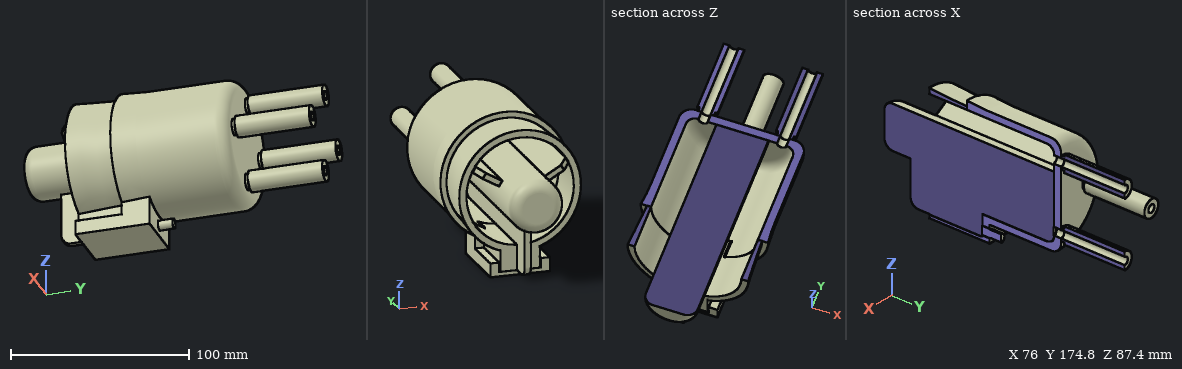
import cadquery as cq


rib_front = 26.7
key_rib_front = 19.0
sleeve_front = 32.7
flare_front = 60.1
flare_back = 75.0
block_back = 76.5
pin_back = 85.1
housing_back = 128.6
tube_shoulder = 130.7
tube_back = 174.8

housing_radius = 74.3 / 2
flare_radius = 76.0 / 2
cavity_radius = 63.5 / 2
wall = housing_radius - cavity_radius
cavity_back = housing_back - wall
housing_back_fillet = 7.5
cavity_fillet = 5.0

block_width = 35.3
overall_height = 87.4
block_bottom = flare_radius - overall_height
channel_width = 24.8
channel_floor = -46.7
channel_back = block_back - wall
lip_top = -41.0

sleeve_front_radius = 36.0
sleeve_back_radius = 34.5
tab_width = 23.2

plunger_radius = 31.3 / 2
plunger_fillet = 6.3
rib_thickness = 3.7
rib_chamfer = 5.0
key_rib_fillet = 5.6
upper_rib_angles = (30, 150)

tube_diameter = 12.4
tube_neck_diameter = 9.6
bore_diameter = 5.2
tube_offset = 23.5
tube_centers = [(tube_offset, 0), (0, tube_offset), (-tube_offset, 0), (0, -tube_offset)]
pin_diameter = 5.8
pin_z = -42.6


def rod(diameter, y_start, y_end, x=0, z=0):
    """Cylinder along Y."""
    start = cq.Workplane("XZ", origin=(x, y_start, z))
    return start.circle(diameter / 2).extrude(y_start - y_end)


def centered_box(width, y_start, y_end, z_bottom, z_top):
    """Box centred on x = 0."""
    block = cq.Workplane("XY").box(width, y_end - y_start, z_top - z_bottom, centered=(True, False, False))
    return block.translate((0, y_start, z_bottom))


def turned(profile):
    """Solid of revolution about Y from (radius, y) points."""
    return cq.Workplane("XY").polyline(profile).close().revolve(360, (0, 0), (0, 1))


def make_cavity():
    """Space inside the housing and sleeve, rounded at its closed end."""
    return rod(2 * cavity_radius, sleeve_front, cavity_back).faces(">Y").edges().fillet(cavity_fillet)


def make_pin():
    return rod(pin_diameter, channel_back, pin_back, z=pin_z)


def make_housing(cavity, pin):
    shell = turned([
        (0, flare_front),
        (flare_radius, flare_front),
        (housing_radius, flare_back),
        (housing_radius, housing_back),
        (0, housing_back),
    ])
    shell = shell.faces(">Y").edges().fillet(housing_back_fillet)
    block = centered_box(block_width, flare_front, block_back, block_bottom, 0)
    lip = centered_box(block_width, sleeve_front, flare_front, block_bottom, lip_top)
    channel = centered_box(channel_width, sleeve_front, channel_back, channel_floor, 0)
    housing = shell.union(block).union(lip).cut(channel).cut(cavity).cut(pin)
    for x, z in tube_centers:
        housing = housing.cut(rod(bore_diameter, cavity_back, housing_back, x, z))
    return housing


def make_upper_rib(angle):
    """Radial rib with its outer front corner chamfered."""
    outline = [
        (0, rib_front),
        (cavity_radius - rib_chamfer, rib_front),
        (cavity_radius, rib_front + rib_chamfer),
        (cavity_radius, cavity_back),
        (0, cavity_back),
    ]
    rib = cq.Workplane("XY").polyline(outline).close().extrude(rib_thickness / 2, both=True)
    return rib.rotate((0, 0, 0), (0, 1, 0), -angle)


def make_key_rib():
    """Lower rib that passes through the sleeve's tab down to the channel floor."""
    plate = centered_box(rib_thickness, key_rib_front, channel_back, channel_floor, 0)
    return plate.edges("<Y and <Z").fillet(key_rib_fillet)


def make_plunger(cavity, key_rib):
    plunger = rod(2 * plunger_radius, 0, cavity_back).faces("<Y").edges().fillet(plunger_fillet)
    rib_space = cavity.union(rod(2 * cavity_radius, 0, sleeve_front))
    for angle in upper_rib_angles:
        plunger = plunger.union(make_upper_rib(angle).intersect(rib_space))
    rear_key = centered_box(rib_thickness, channel_back, cavity_back, -cavity_radius, 0)
    return plunger.union(key_rib).union(rear_key.intersect(rib_space))


def make_sleeve(cavity, key_rib):
    ring = turned([
        (0, sleeve_front),
        (sleeve_front_radius, sleeve_front),
        (sleeve_back_radius, flare_front),
        (0, flare_front),
    ])
    tab = centered_box(tab_width, sleeve_front, channel_back, channel_floor, 0)
    return ring.union(tab).cut(cavity).cut(key_rib)


def make_tube(x, z):
    neck = rod(tube_neck_diameter, housing_back, tube_shoulder, x, z)
    body = rod(tube_diameter, tube_shoulder, tube_back, x, z)
    return neck.union(body).cut(rod(bore_diameter, housing_back, tube_back, x, z))


cavity = make_cavity()
key_rib = make_key_rib()
pin = make_pin()
housing = make_housing(cavity, pin)
sleeve = make_sleeve(cavity, key_rib)
plunger = make_plunger(cavity, key_rib)
tubes = [make_tube(x, z).solids().val() for x, z in tube_centers]

bodies = [body.solids().val() for body in (housing, sleeve, plunger, pin)]
result = cq.Compound.makeCompound([*bodies, *tubes])